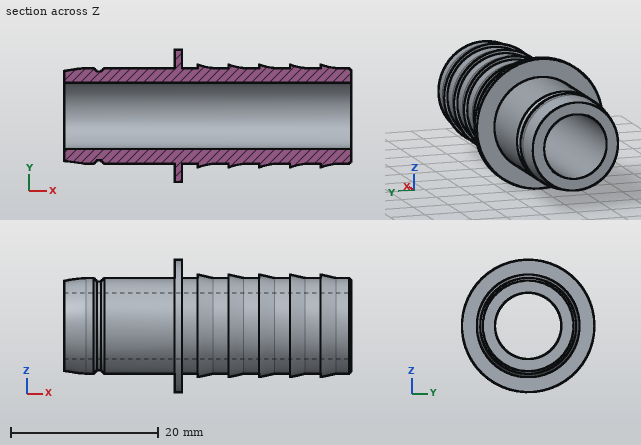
import cadquery as cq

length = 39.0
body_radius = 6.5
bore_radius = 4.5

nose_length = 2.95
nose_tip_radius = 6.12
nose_bulge = 0.06

groove_start = 4.0
groove_wall_length = 0.45
groove_floor_length = 0.5
groove_depth = 0.45

flange_start = 15.0
flange_thickness = 1.0
flange_radius = 9.0

barb_count = 5
barb_start = 18.15
barb_pitch = 4.17
barb_length = 2.05
barb_radius = 7.0

end_chamfer = 0.35


def ring(points):
    """Revolve a closed (x, radius) outline about the X axis."""
    return cq.Workplane("XZ").polyline(points).close().revolve(360, (0, 0, 0), (1, 0, 0))


def make_body():
    arc_middle = (nose_length / 2, (nose_tip_radius + body_radius) / 2 + nose_bulge)
    return (
        cq.Workplane("XZ")
        .moveTo(0, 0)
        .lineTo(0, nose_tip_radius)
        .threePointArc(arc_middle, (nose_length, body_radius))
        .lineTo(length - end_chamfer, body_radius)
        .lineTo(length, body_radius - end_chamfer)
        .lineTo(length, 0)
        .close()
        .revolve(360, (0, 0, 0), (1, 0, 0))
    )


def make_groove():
    floor_start = groove_start + groove_wall_length
    floor_end = floor_start + groove_floor_length
    floor_radius = body_radius - groove_depth
    return ring([
        (groove_start, body_radius),
        (floor_start, floor_radius),
        (floor_end, floor_radius),
        (floor_end + groove_wall_length, body_radius),
    ])


def make_flange():
    return cq.Workplane("YZ", origin=(flange_start, 0, 0)).circle(flange_radius).extrude(flange_thickness)


def make_barb(start):
    return ring([
        (start, bore_radius),
        (start, barb_radius),
        (start + barb_length, body_radius),
        (start + barb_length, bore_radius),
    ])


result = make_body().cut(make_groove()).union(make_flange())
for index in range(barb_count):
    result = result.union(make_barb(barb_start + index * barb_pitch))

bore = cq.Workplane("YZ").circle(bore_radius).extrude(length)
result = result.cut(bore)